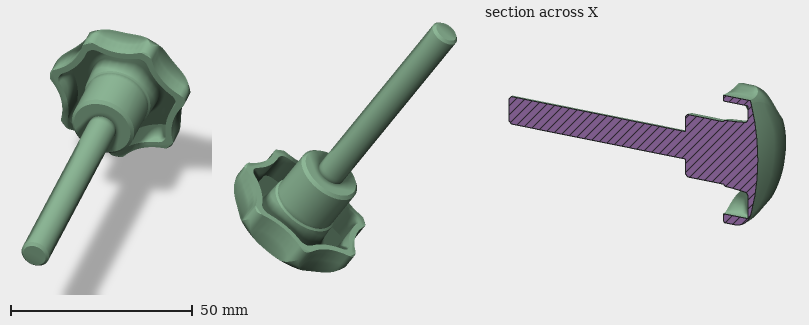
import cadquery as cq
import math

total_length = 85.0
knob_height = 11.8
hub_length = 13.1
stud_length = total_length - knob_height - hub_length

lobe_count = 7
tip_radius = 20.0
valley_radius = 16.6
scallop_radius = 15.0
scallop_center = valley_radius + scallop_radius

dome_radius = 55.25
shoulder_radius = 5.95
rim_chamfer = 0.4

valley_wall = 1.8
tip_wall = 2.6
cavity_depth = 8.3

hub_diameter = 18.0
hub_chamfer = 0.85
collar_chamfer = 0.5
collar_diameter = 19.0
root_diameter = 20.1
root_fillet = 1.2

stud_diameter = 8.0
stud_chamfer = 0.8


def lobed_prism(outer_radius, arc_radius, length):
    """Lobed outline extruded from the rim plane toward +Y, with one lobe pointing to -Z."""
    half_pitch = math.pi / lobe_count
    cos_half = math.cos(half_pitch)
    gap = scallop_center**2 + outer_radius**2 - 2 * scallop_center * outer_radius * cos_half - arc_radius**2
    tip_arc = gap / (2 * (arc_radius + outer_radius - scallop_center * cos_half))
    tip_center = outer_radius - tip_arc
    share = tip_arc / (tip_arc + arc_radius)
    along = tip_center + share * (scallop_center * cos_half - tip_center)
    across = share * scallop_center * math.sin(half_pitch)
    tangent_radius = math.hypot(along, across)
    tangent_angle = math.atan2(across, along)

    def polar(radius, angle):
        return radius * math.cos(angle), radius * math.sin(angle)

    first_lobe = -math.pi / 2
    outline = cq.Workplane("XZ").moveTo(*polar(tangent_radius, first_lobe - tangent_angle))
    for index in range(lobe_count):
        lobe = first_lobe + 2 * half_pitch * index
        next_lobe = lobe + 2 * half_pitch
        outline = outline.threePointArc(polar(outer_radius, lobe), polar(tangent_radius, lobe + tangent_angle))
        outline = outline.threePointArc(
            polar(scallop_center - arc_radius, lobe + half_pitch),
            polar(tangent_radius, next_lobe - tangent_angle),
        )
    return outline.close().extrude(-length)


def revolve_about_y(profile):
    return profile.close().revolve(360, (0, 0, 0), (0, 1, 0))


def crown_envelope():
    """Round blank with a shallow domed top, a rounded shoulder and a chamfered rim."""
    dome_center = knob_height - dome_radius
    shoulder_x = tip_radius - shoulder_radius
    center_distance = dome_radius - shoulder_radius
    shoulder_y = dome_center + math.sqrt(center_distance**2 - shoulder_x**2)
    join_angle = math.acos(shoulder_x / center_distance)
    dome_middle = (math.pi / 2 + join_angle) / 2

    def on_dome(angle):
        return dome_radius * math.cos(angle), dome_center + dome_radius * math.sin(angle)

    shoulder_middle = (
        shoulder_x + shoulder_radius * math.cos(join_angle / 2),
        shoulder_y + shoulder_radius * math.sin(join_angle / 2),
    )
    return revolve_about_y(
        cq.Workplane("XY")
        .lineTo(tip_radius - rim_chamfer, 0)
        .lineTo(tip_radius, rim_chamfer)
        .lineTo(tip_radius, shoulder_y)
        .threePointArc(shoulder_middle, on_dome(join_angle))
        .threePointArc(on_dome(dome_middle), (0, knob_height))
    )


def hub_and_stud():
    """Turned core: tapered root, hub and stud."""
    root = root_diameter / 2
    hub = hub_diameter / 2
    stud = stud_diameter / 2
    hub_end = -hub_length
    stud_end = hub_end - stud_length
    fillet_drop = root_fillet * math.sqrt(0.5)
    fillet_middle = (root + root_fillet - fillet_drop, cavity_depth - root_fillet + fillet_drop)
    return revolve_about_y(
        cq.Workplane("XY")
        .moveTo(0, cavity_depth)
        .lineTo(root + root_fillet, cavity_depth)
        .threePointArc(fillet_middle, (root, cavity_depth - root_fillet))
        .lineTo(collar_diameter / 2, collar_chamfer)
        .lineTo(hub, 0)
        .lineTo(hub, hub_end + hub_chamfer)
        .lineTo(hub - hub_chamfer, hub_end)
        .lineTo(stud, hub_end)
        .lineTo(stud, stud_end + stud_chamfer)
        .lineTo(stud - stud_chamfer, stud_end)
        .lineTo(0, stud_end)
    )


knob = lobed_prism(tip_radius, scallop_radius, knob_height).intersect(crown_envelope())
cavity = lobed_prism(tip_radius - tip_wall, scallop_radius + valley_wall, cavity_depth)
result = knob.cut(cavity).union(hub_and_stud())